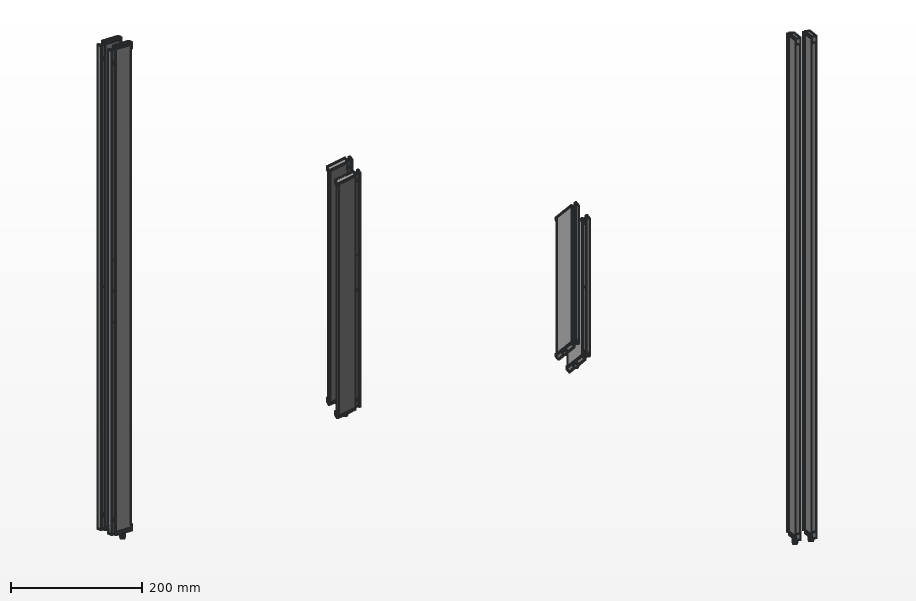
import cadquery as cq

TOTAL_HEIGHT = 809.5
BAR_WIDTH = 8.0
BAR_PITCH = 26.0

HOUSING_DEPTH = 29.0
NECK_DEPTH = 6.5
FLANGE_DEPTH = 2.5
NECK_WIDTH = 3.0

HOUSING_BOTTOM = 14.5
HOUSING_TOP = 806.0
RAIL_BOTTOM = 12.0
RAIL_TOP = 805.5
CAP_BOTTOM = 10.0

CAP_WIDTH = 7.7
LIP_HEIGHT = 10.0
LIP_THICKNESS = 2.5

CONNECTOR_TIP_DIAMETER = 6.5
CONNECTOR_COLLAR_DIAMETER = 8.0
CONNECTOR_NECK_DIAMETER = 7.0
CONNECTOR_TIP_HEIGHT = 2.5
CONNECTOR_COLLAR_HEIGHT = 3.0
CONNECTOR_BACK_OFFSET = 13.0
CONNECTOR_SHORTENING = 2.0

END_HOLE_DIAMETER = 5.0
END_HOLE_INSET = 23.0
MIDDLE_HOLE_DIAMETER = 2.0

HOUSING_FRONT = -HOUSING_DEPTH
FLANGE_BACK = HOUSING_FRONT - NECK_DEPTH
HOLE_Y = HOUSING_FRONT - NECK_DEPTH / 2
RAIL_MIDDLE = (RAIL_TOP + RAIL_BOTTOM) / 2


def upright_block(width, front, back, bottom, top):
    """Box centred on X = 0 between the given Y and Z limits."""
    return (
        cq.Workplane("XY")
        .box(width, back - front, top - bottom, centered=(True, False, False))
        .translate((0, front, bottom))
    )


def make_rail():
    """T-shaped mounting rail along the front of the housing."""
    neck = upright_block(NECK_WIDTH, FLANGE_BACK, HOUSING_FRONT, RAIL_BOTTOM, RAIL_TOP)
    flange = upright_block(BAR_WIDTH, FLANGE_BACK - FLANGE_DEPTH, FLANGE_BACK, RAIL_BOTTOM, RAIL_TOP)
    return neck.union(flange)


def make_cap(inner, outer, lip_end):
    """End cap between two levels, with a back lip reaching to lip_end along the housing."""
    plate = upright_block(CAP_WIDTH, HOUSING_FRONT, 0, min(inner, outer), max(inner, outer))
    lip = upright_block(CAP_WIDTH, 0, LIP_THICKNESS, min(outer, lip_end), max(outer, lip_end))
    return plate.union(lip)


def upright_cylinder(diameter, bottom, top):
    """Cylinder on the connector axis between two levels."""
    return (
        cq.Workplane("XY", origin=(0, -CONNECTOR_BACK_OFFSET, bottom))
        .circle(diameter / 2)
        .extrude(top - bottom)
    )


def make_connector(bottom):
    """Stepped round connector: tip, wider collar and a neck that enters the lower cap."""
    collar_bottom = bottom + CONNECTOR_TIP_HEIGHT
    collar_top = collar_bottom + CONNECTOR_COLLAR_HEIGHT
    tip = upright_cylinder(CONNECTOR_TIP_DIAMETER, bottom, collar_bottom)
    collar = upright_cylinder(CONNECTOR_COLLAR_DIAMETER, collar_bottom, collar_top)
    neck = upright_cylinder(CONNECTOR_NECK_DIAMETER, collar_top, HOUSING_BOTTOM)
    return tip.union(collar).union(neck)


def cross_hole(diameter, level):
    """Cylinder along X that cuts one hole through the neck."""
    return (
        cq.Workplane("YZ", origin=(0, HOLE_Y, level))
        .circle(diameter / 2)
        .extrude(BAR_WIDTH / 2, both=True)
    )


def make_bar(connector_bottom):
    """One complete bar: housing, end caps, connector and drilled rail."""
    bar = upright_block(BAR_WIDTH, HOUSING_FRONT, 0, HOUSING_BOTTOM, HOUSING_TOP)
    bar = bar.union(make_rail())
    bar = bar.union(make_cap(HOUSING_TOP, TOTAL_HEIGHT, TOTAL_HEIGHT - LIP_HEIGHT))
    bar = bar.union(make_cap(HOUSING_BOTTOM, CAP_BOTTOM, CAP_BOTTOM + LIP_HEIGHT))
    bar = bar.union(make_connector(connector_bottom))
    for level in (RAIL_BOTTOM + END_HOLE_INSET, RAIL_TOP - END_HOLE_INSET):
        bar = bar.cut(cross_hole(END_HOLE_DIAMETER, level))
    return bar.cut(cross_hole(MIDDLE_HOLE_DIAMETER, RAIL_MIDDLE))


left_bar = make_bar(CONNECTOR_SHORTENING).translate((-BAR_PITCH / 2, 0, 0))
right_bar = make_bar(0).translate((BAR_PITCH / 2, 0, 0))

result = cq.Compound.makeCompound([left_bar.val(), right_bar.val()])